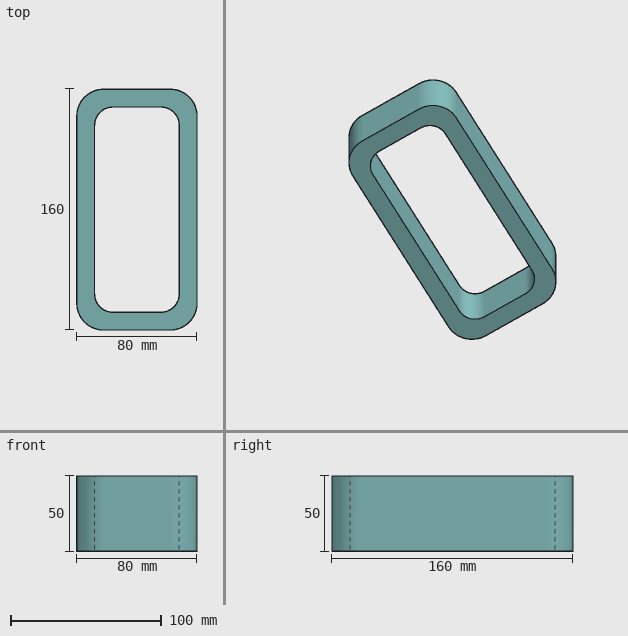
import cadquery as cq

width = 80.0
length = 160.0
height = 50.0
wall = 12.0
outer_corner_radius = 18.0
inner_corner_radius = 12.0


def rounded_block(size_x, size_y, corner_radius):
    """Full-height block with rounded vertical edges, standing on Z = 0."""
    block = cq.Workplane("XY").rect(size_x, size_y).extrude(height)
    return block.edges("|Z").fillet(corner_radius)


outer_body = rounded_block(width, length, outer_corner_radius)
opening = rounded_block(width - 2 * wall, length - 2 * wall, inner_corner_radius)
result = outer_body.cut(opening)